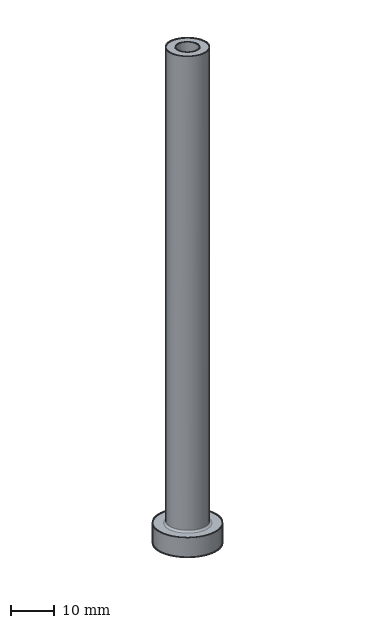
import cadquery as cq

total_length = 125.0
head_diameter = 16.0
head_thickness = 5.0
shaft_diameter = 10.0
bore_diameter = 5.5
neck_fillet_radius = 0.5

head = cq.Workplane("XY").circle(head_diameter / 2).extrude(head_thickness)
shaft = cq.Workplane("XY").circle(shaft_diameter / 2).extrude(total_length)
body = head.union(shaft)

neck_edge = cq.selectors.RadiusNthSelector(0)
body = body.faces(cq.selectors.NearestToPointSelector((0, 0, head_thickness))).edges(neck_edge)
body = body.fillet(neck_fillet_radius)

bore = cq.Workplane("XY").circle(bore_diameter / 2).extrude(total_length)
result = body.cut(bore)